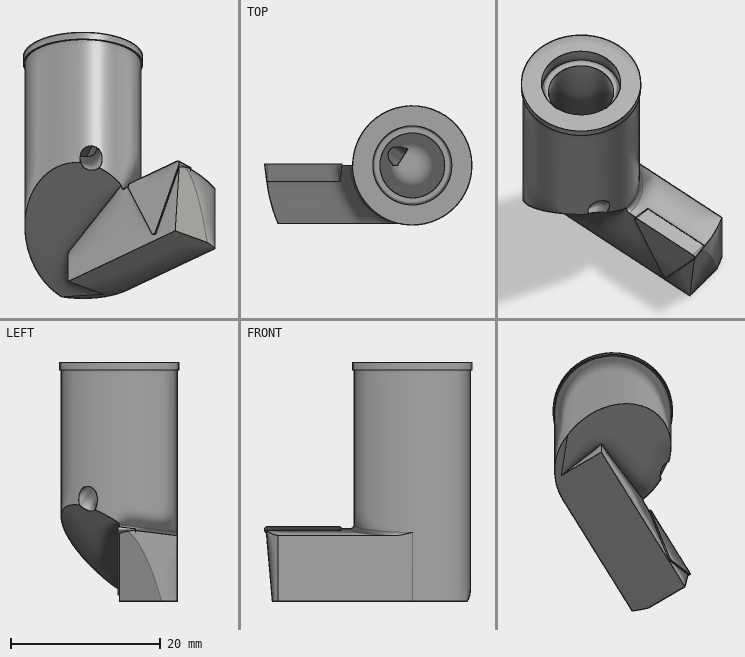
import cadquery as cq
import math


def tan_deg(angle):
    return math.tan(math.radians(angle))


total_height = 32.0
shank_radius = 7.8
collar_radius = 8.0
collar_height = 1.0

bore_radius = 4.35
bore_floor_z = 18.5
counterbore_radius = 5.3
counterbore_depth = 2.0

head_swing_radius = 19.6
head_end_x = 3.0
head_top_z = 9.75
clearance_angle = 7.0
end_relief_angle = 5.0
end_relief_x = -18.75
root_fillet = 0.5
oversize = 30.0

relief_axis_z = 6.0
relief_slope_x = -0.57
relief_slope_y = 0.686

coolant_diameter = 3.0
coolant_direction = 147.0
coolant_dip = 37.0
coolant_floor_radius = 1.19
coolant_end_drop = 0.39
coolant_length = 15.0

insert_inscribed_radius = 3.175
insert_thickness = 2.38
insert_nose_radius = 0.4
insert_rake_y = 0.2
insert_tip_x = -19.8
insert_top_z = 10.0


def make_insert():
    """Rounded triangular plate whose sides taper inward away from the rake face."""
    corner_angles = (30, 150, 270)
    corner_distance = 2 * (insert_inscribed_radius - insert_nose_radius)
    half_width = corner_distance * math.cos(math.radians(corner_angles[0])) + insert_nose_radius
    center_x = insert_tip_x + half_width
    center_z = insert_top_z - insert_inscribed_radius
    nose_centers = [
        (
            center_x + corner_distance * math.cos(math.radians(angle)),
            center_z + corner_distance * math.sin(math.radians(angle)),
        )
        for angle in corner_angles
    ]
    rake_plane = cq.Workplane("XZ", origin=(0, insert_rake_y, 0))
    return (
        rake_plane.polyline(nose_centers)
        .close()
        .offset2D(insert_nose_radius)
        .extrude(insert_thickness, taper=clearance_angle)
    )


def head_outline_solid():
    """Vertical prism of the head: straight front and back, end swung about the shank axis."""
    front_corner_x = -math.sqrt(head_swing_radius**2 - shank_radius**2)
    mid_y = -shank_radius / 2
    mid_x = -math.sqrt(head_swing_radius**2 - mid_y**2)
    arm = (
        cq.Workplane("XY")
        .moveTo(0, 0)
        .lineTo(-head_swing_radius, 0)
        .threePointArc((mid_x, mid_y), (front_corner_x, -shank_radius))
        .lineTo(0, -shank_radius)
        .close()
        .extrude(total_height)
    )
    foot = (
        cq.Workplane("XY")
        .box(head_end_x, shank_radius, total_height, centered=False)
        .translate((0, -shank_radius, 0))
        .intersect(cq.Workplane("XY").circle(shank_radius).extrude(total_height))
    )
    return arm.union(foot)


def sloped_stock():
    """Wide block under the head top with the shank standing on it, root filleted."""
    rise = oversize * tan_deg(clearance_angle)
    block = (
        cq.Workplane("YZ", origin=(-oversize, 0, 0))
        .polyline(
            [
                (-oversize, 0),
                (oversize, 0),
                (oversize, head_top_z + rise),
                (-oversize, head_top_z - rise),
            ]
        )
        .close()
        .extrude(2 * oversize)
    )
    shank = cq.Workplane("XY").circle(shank_radius).extrude(total_height)
    search_half_width = shank_radius + root_fillet
    search_half_height = shank_radius * tan_deg(clearance_angle) + root_fillet
    root_box = cq.selectors.BoxSelector(
        (-search_half_width, -search_half_width, head_top_z - search_half_height),
        (search_half_width, search_half_width, head_top_z + search_half_height),
    )
    return block.union(shank).edges(root_box).fillet(root_fillet)


def end_relief():
    """Wedge beyond the undercut plane at the head's rounded end."""
    lean = total_height * tan_deg(end_relief_angle)
    return (
        cq.Workplane("XZ", origin=(0, oversize, 0))
        .polyline(
            [
                (end_relief_x, 0),
                (end_relief_x - lean, total_height),
                (-2 * oversize, total_height),
                (-2 * oversize, 0),
            ]
        )
        .close()
        .extrude(2 * oversize)
    )


def relief_block():
    """Everything below the sloped plane under the shank."""
    plane = cq.Plane(
        origin=(0, 0, relief_axis_z),
        xDir=(1, 0, relief_slope_x),
        normal=(-relief_slope_x, -relief_slope_y, 1),
    )
    return cq.Workplane(plane).rect(2 * oversize, 2 * oversize).extrude(-oversize)


def coolant_hole():
    """Round hole from just below the bore floor, down and out through the shank wall."""
    turn = math.radians(coolant_direction)
    dip = math.radians(coolant_dip)
    end_radius = coolant_floor_radius + coolant_end_drop * math.cos(dip)
    plane = cq.Plane(
        origin=(
            end_radius * math.cos(turn),
            end_radius * math.sin(turn),
            bore_floor_z - coolant_end_drop * math.sin(dip),
        ),
        xDir=(-math.sin(turn), math.cos(turn), 0),
        normal=(
            math.cos(dip) * math.cos(turn),
            math.cos(dip) * math.sin(turn),
            -math.sin(dip),
        ),
    )
    return cq.Workplane(plane).circle(coolant_diameter / 2).extrude(coolant_length)


def make_holder(insert):
    """Shank, collar and cutting head in one solid, with the insert's seat cut to fit."""
    head = sloped_stock().intersect(head_outline_solid()).cut(end_relief())
    shank = (
        cq.Workplane("XY")
        .circle(shank_radius)
        .extrude(total_height)
        .cut(relief_block())
        .cut(coolant_hole())
    )
    collar = (
        cq.Workplane("XY", origin=(0, 0, total_height - collar_height))
        .circle(collar_radius)
        .extrude(collar_height)
    )
    bore = (
        cq.Workplane("XY", origin=(0, 0, bore_floor_z))
        .circle(bore_radius)
        .extrude(total_height - bore_floor_z)
    )
    counterbore = (
        cq.Workplane("XY", origin=(0, 0, total_height - counterbore_depth))
        .circle(counterbore_radius)
        .extrude(counterbore_depth)
    )
    body = head.union(shank).union(collar)
    return body.cut(bore).cut(counterbore).cut(insert).solids()


insert = make_insert()
holder = make_holder(insert)

result = cq.Compound.makeCompound([holder.val(), insert.val()])